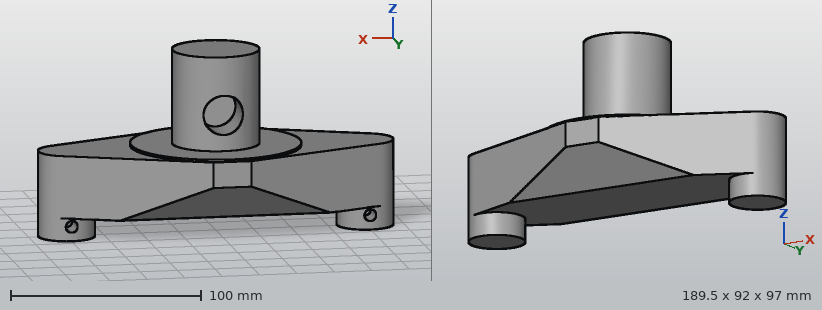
import cadquery as cq
import math

length = 189.5
width = 92.0
total_height = 97.0

body_bottom = 12.3
body_top = 45.7
side_flat_length = 20.0
tip_x = 85.0
edge_chamfer = 19.7

foot_diameter = 30.0
disc_diameter = 90.0
disc_height = 1.1
post_diameter = 46.0

post_hole_diameter = 21.0
post_hole_height = 66.0

foot_hole_diameter = 6.3
foot_hole_height = 7.8

foot_radius = foot_diameter / 2
foot_offset = length / 2 - foot_radius
half_flat = side_flat_length / 2
half_width = width / 2


def make_body():
    tip_y = math.sqrt(foot_radius**2 - (tip_x - foot_offset) ** 2)
    plan = (
        cq.Workplane("XY", origin=(0, 0, body_bottom))
        .polyline([
            (-half_flat, half_width),
            (half_flat, half_width),
            (tip_x, tip_y),
            (tip_x, -tip_y),
            (half_flat, -half_width),
            (-half_flat, -half_width),
            (-tip_x, -tip_y),
            (-tip_x, tip_y),
        ])
        .close()
        .extrude(body_top - body_bottom)
    )
    half_bottom = half_width - edge_chamfer
    bevel_top = body_bottom + edge_chamfer
    section = (
        cq.Workplane("YZ")
        .polyline([
            (-half_bottom, body_bottom),
            (half_bottom, body_bottom),
            (half_width, bevel_top),
            (half_width, body_top),
            (-half_width, body_top),
            (-half_width, bevel_top),
        ])
        .close()
        .extrude(length / 2, both=True)
    )
    return plan.intersect(section)


def make_feet():
    return (
        cq.Workplane("XY")
        .pushPoints([(-foot_offset, 0), (foot_offset, 0)])
        .circle(foot_radius)
        .extrude(body_top)
    )


def make_disc_and_post():
    disc = (
        cq.Workplane("XY", origin=(0, 0, body_top))
        .circle(disc_diameter / 2)
        .extrude(disc_height)
    )
    post = (
        cq.Workplane("XY", origin=(0, 0, body_top))
        .circle(post_diameter / 2)
        .extrude(total_height - body_top)
    )
    return disc.union(post)


def side_hole(x, z, diameter, reach):
    """Cylinder reaching from the plane Y = 0 outward along +Y."""
    return (
        cq.Workplane("XZ", origin=(x, 0, z))
        .circle(diameter / 2)
        .extrude(-reach)
    )


result = make_body().union(make_feet()).union(make_disc_and_post())
result = result.cut(side_hole(0, post_hole_height, post_hole_diameter, post_diameter))
for foot_x in (-foot_offset, foot_offset):
    result = result.cut(side_hole(foot_x, foot_hole_height, foot_hole_diameter, foot_diameter))